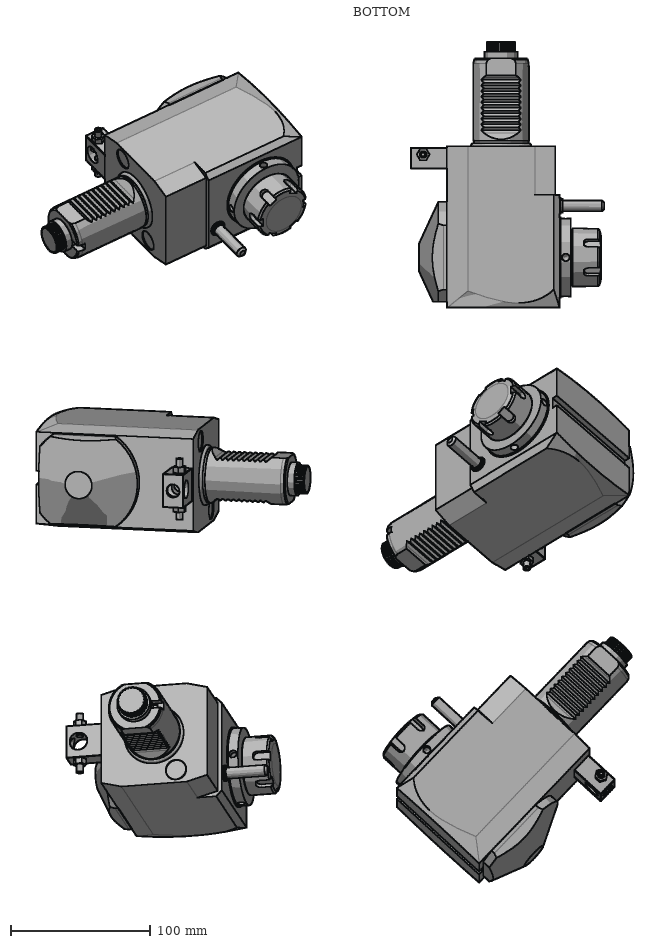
import cadquery as cq
import math


total_length = 191
body_length = 116.0
body_height = 75.0
half_height = body_height / 2
facet_angle = math.radians(15)
narrow_half_width = 39.0
facet_run = 14.9
facet_drop = facet_run * math.tan(facet_angle)
facet_inner_x = narrow_half_width - facet_run
head_x = 42.0
head_start_y = 35.0
head_chamfer = 4.2
slot_half_width = 5.0
slot_depth = 4.0

crown_z = 36.7
crown_left_y = 103.7
crown_right_y = 102.8
crown_edge = [(-14.3, 107.2), (-3.5, 110.2), (12.6, 112.5), (28.8, 109.0)]

shank_radius = 20.0
shank_length = 63.0
collar_radius = 21.8
collar_length = 2.3
collar_round = 2.1
neck_radius = 19.7
neck_end = 4.0
end_taper_length = 3.5
end_taper_depth = 0.5
end_chamfer = 1.0
flat_z = 17.0
ring_radius = 12.0
ring_end = 68.0
spline_radius = 10.3
spline_root_radius = 9.4
spline_count = 24
spline_end = total_length - body_length
spline_chamfer = 0.5

tooth_count = 10
tooth_valley_z = 14.1
first_valley_y = -11.7
last_valley_y = -47.5
tooth_pitch = (first_valley_y - last_valley_y) / (tooth_count - 1)
tooth_slope = 1.2
tooth_height = tooth_pitch / 2 / tooth_slope
ramp_slope = 1.1

key_half_width = 2.7
key_inner_x = 11.8
key_depth = 5.7
key_pocket_half_width = 1.7
key_pocket_outer_x = 15.3
key_pocket_depth = 1.1

recess_radius = 7.5
recess_x = 16.0
recess_z = 27.7
recess_depth = 1.0

spindle_y = 79.8
seat_radius = 28.8
seat_end = 42.8
flange_radius = 28.0
flange_end = 50.0
spindle_neck_radius = 16.0
nut_radius = 21.0
nut_start = 51.0
nut_end = 71.8
nut_bevel_start = 69.5
nut_shoulder_x = 70.9
nut_shoulder_radius = 19.7
nut_face_radius = 15.3
nut_back_chamfer = 0.5
nut_slot_count = 6
nut_slot_half_width = 3.2
nut_slot_start = 59.2
nut_slot_depth = 3.6
pin_hole_radius = 2.7
pin_hole_depth = 4.8
pin_hole_x = (seat_end + flange_end) / 2

pin_y = 42.8
pin_z = -17.8
pin_radius = 4.0
pin_end = 74.1
pin_chamfer = 1.7
pin_foot_radius = 5.7
pin_foot_end = 43.0
pin_step_radius = 5.0
pin_step_end = 44.1

cover_radius = 40.1
cover_rim_x = -45.0
cover_tip_x = -59.0
cover_tip_radius = 10.0
cover_back_y = 111.7
cover_half_height = 32.9

block_x = -65.0
block_start_y = 1.0
block_end_y = 16.0
block_half_height = 12.2
bore_x = -56.0
bore_y = 8.5
bore_radius = 6.5
port_radius = 4.8
port_bottom_x = -42.0
feed_radius = 1.5
feed_depth = 2.0
block_chamfer = 0.4
screw_y = 6.0
nut_across_corners = 9.2
lock_nut_top = 16.5
screw_radius = 2.5
screw_top = 22.2
screw_bottom = 5.5
socket_diameter = 3.0
socket_depth = 2.0


def cylinder_x(radius, start_x, end_x, y, z):
    return cq.Workplane("YZ", origin=(start_x, y, z)).circle(radius).extrude(end_x - start_x)


def cylinder_y(radius, start_y, end_y, x=0, z=0):
    return cq.Workplane("XZ", origin=(x, start_y, z)).circle(radius).extrude(start_y - end_y)


def crown_cutter():
    """Wedge between the flat top and the ruled surface that crowns the back end."""
    back_left = cq.Vector(-narrow_half_width, body_length, half_height - facet_drop)
    back_right = cq.Vector(head_x, body_length, half_height - head_chamfer)
    back_middle = cq.Vector((head_x - narrow_half_width) / 2, body_length, crown_z)
    top_left = cq.Vector(-facet_inner_x, crown_left_y, half_height)
    top_right = cq.Vector(head_x - head_chamfer, crown_right_y, half_height)
    corner_left = cq.Vector(back_left.x, body_length, half_height)
    corner_right = cq.Vector(back_right.x, body_length, half_height)

    back_arc = cq.Edge.makeThreePointArc(back_left, back_middle, back_right)
    top_points = [cq.Vector(x, y, half_height) for x, y in crown_edge]
    top_curve = cq.Edge.makeSpline([top_left] + top_points + [top_right])

    line = cq.Edge.makeLine
    left_ridge = line(back_left, top_left)
    right_ridge = line(back_right, top_right)
    left_post = line(back_left, corner_left)
    right_post = line(back_right, corner_right)
    left_side = line(corner_left, top_left)
    right_side = line(corner_right, top_right)
    back_line = line(corner_left, corner_right)

    outlines = [
        [back_arc, right_post, back_line, left_post],
        [top_curve, right_side, back_line, left_side],
        [left_ridge, left_side, left_post],
        [right_ridge, right_side, right_post],
    ]
    faces = [cq.Face.makeFromWires(cq.Wire.assembleEdges(edges)) for edges in outlines]
    faces.append(cq.Face.makeRuledSurface(back_arc, top_curve))
    return cq.Workplane(cq.Solid.makeSolid(cq.Shell.makeShell(faces)))


def body():
    facet_end_z = half_height - facet_drop
    tail_outline = [
        (-narrow_half_width, -facet_end_z),
        (-facet_inner_x, -half_height),
        (facet_inner_x, -half_height),
        (narrow_half_width, -facet_end_z),
        (narrow_half_width, facet_end_z),
        (facet_inner_x, half_height),
        (-facet_inner_x, half_height),
        (-narrow_half_width, facet_end_z),
    ]
    chamfer_x = head_x - head_chamfer
    chamfer_z = half_height - head_chamfer
    head_outline = tail_outline[:2] + [
        (chamfer_x, -half_height),
        (head_x, -chamfer_z),
        (head_x, chamfer_z),
        (chamfer_x, half_height),
    ] + tail_outline[-2:]
    tail = cq.Workplane("XZ").polyline(tail_outline).close().extrude(-head_start_y)
    head = (
        cq.Workplane("XZ", origin=(0, head_start_y, 0))
        .polyline(head_outline).close()
        .extrude(head_start_y - body_length)
    )
    cutter = crown_cutter()
    slot = cq.Workplane("XY").box(4 * head_x, 2 * slot_depth, 2 * slot_half_width)
    solid = tail.union(head).cut(cutter).cut(cutter.mirror("XY"))
    solid = solid.cut(slot.translate((0, body_length, 0)))
    for side in (-1, 1):
        solid = solid.cut(cylinder_y(recess_radius, 0, recess_depth, side * recess_x, -side * recess_z))
    return solid


def tooth_cutter():
    """Everything above the toothed and flat profile on the +Z side of the shank."""
    clear_z = 2 * shank_radius
    crest_z = tooth_valley_z + tooth_height
    first_crest_y = first_valley_y + tooth_pitch / 2
    last_crest_y = last_valley_y - tooth_pitch / 2
    profile = [
        (first_crest_y + (clear_z - crest_z) * ramp_slope, clear_z),
        (first_crest_y, crest_z),
    ]
    for i in range(tooth_count):
        valley_y = first_valley_y - i * tooth_pitch
        profile.append((valley_y, tooth_valley_z))
        profile.append((valley_y - tooth_pitch / 2, crest_z))
    profile += [
        (last_crest_y - (flat_z - crest_z) * ramp_slope, flat_z),
        (-shank_length, flat_z),
        (-shank_length, clear_z),
    ]
    start = (-shank_radius, 0, 0)
    return cq.Workplane("YZ", origin=start).polyline(profile).close().extrude(2 * shank_radius)


def shank():
    outline = [
        (0, 0),
        (neck_radius, 0),
        (neck_radius, -neck_end),
        (shank_radius, -neck_end),
        (shank_radius, -shank_length + end_taper_length),
        (shank_radius - end_taper_depth, -shank_length + end_chamfer),
        (shank_radius - end_taper_depth - end_chamfer, -shank_length),
        (ring_radius, -shank_length),
        (ring_radius, -ring_end),
        (spline_radius, -ring_end),
        (spline_radius, -spline_end + spline_chamfer),
        (spline_radius - spline_chamfer, -spline_end),
        (0, -spline_end),
    ]
    solid = cq.Workplane("XY").polyline(outline).close().revolve(360, (0, 0, 0), (0, 1, 0))

    collar = cylinder_y(collar_radius, 0, -collar_length).faces("<Y").edges().fillet(collar_round)
    cutter = tooth_cutter()
    solid = solid.cut(cutter).cut(cutter.mirror("XY")).union(collar)

    key = cq.Workplane("XY").box(
        shank_radius, key_depth, 2 * key_half_width, centered=(False, False, True)
    )
    key_pocket = cq.Workplane("XY").box(
        key_pocket_outer_x - key_inner_x,
        key_depth + key_pocket_depth,
        2 * key_pocket_half_width,
        centered=(False, False, True),
    )
    solid = solid.cut(key.union(key_pocket).translate((key_inner_x, -shank_length, 0)))

    gap_angle = math.pi / spline_count / 2
    gap_outline = [
        (spline_root_radius, 0),
        (spline_radius * math.cos(gap_angle), spline_radius * math.sin(gap_angle)),
        (spline_radius + spline_chamfer, 0),
        (spline_radius * math.cos(gap_angle), -spline_radius * math.sin(gap_angle)),
    ]
    gap = (
        cq.Workplane("XZ", origin=(0, -ring_end, 0))
        .polyline(gap_outline).close()
        .extrude(spline_end - ring_end)
    )
    for i in range(spline_count):
        solid = solid.cut(gap.rotate((0, 0, 0), (0, 1, 0), i * 360 / spline_count))
    return solid


def spindle():
    outline = [
        (head_x, 0),
        (head_x, seat_radius),
        (seat_end, seat_radius),
        (seat_end, flange_radius),
        (flange_end, flange_radius),
        (flange_end, spindle_neck_radius),
        (nut_start, spindle_neck_radius),
        (nut_start, nut_radius - nut_back_chamfer),
        (nut_start + nut_back_chamfer, nut_radius),
        (nut_bevel_start, nut_radius),
        (nut_shoulder_x, nut_shoulder_radius),
        (nut_end, nut_face_radius),
        (nut_end, 0),
    ]
    solid = cq.Workplane("XY").polyline(outline).close().revolve(360, (0, 0, 0), (1, 0, 0))

    slot_round_x = nut_slot_start + nut_slot_half_width
    slot = (
        cq.Workplane("XY", origin=(0, 0, nut_radius - nut_slot_depth))
        .moveTo(nut_end, -nut_slot_half_width)
        .lineTo(slot_round_x, -nut_slot_half_width)
        .threePointArc((nut_slot_start, 0), (slot_round_x, nut_slot_half_width))
        .lineTo(nut_end, nut_slot_half_width)
        .close()
        .extrude(2 * nut_slot_depth)
    )
    for i in range(nut_slot_count):
        solid = solid.cut(slot.rotate((0, 0, 0), (1, 0, 0), 90 + i * 360 / nut_slot_count))

    hole_floor = flange_radius - pin_hole_depth
    hole = (
        cq.Workplane("XZ")
        .polyline([
            (0, hole_floor - pin_hole_radius),
            (pin_hole_radius, hole_floor),
            (pin_hole_radius, seat_radius),
            (0, seat_radius),
        ])
        .close()
        .revolve(360, (0, 0, 0), (0, 1, 0))
        .translate((pin_hole_x, 0, 0))
    )
    for angle in range(0, 360, 90):
        solid = solid.cut(hole.rotate((0, 0, 0), (1, 0, 0), angle))
    return solid.translate((0, spindle_y, 0))


def locating_pin():
    pin = cylinder_x(pin_radius, head_x, pin_end, pin_y, pin_z).faces(">X").chamfer(pin_chamfer)
    foot = cylinder_x(pin_foot_radius, head_x, pin_foot_end, pin_y, pin_z)
    step = cylinder_x(pin_step_radius, head_x, pin_step_end, pin_y, pin_z)
    return pin.union(foot).union(step)


def bearing_cover():
    outline = [
        (-narrow_half_width, 0),
        (-narrow_half_width, cover_radius),
        (cover_rim_x, cover_radius),
        (cover_tip_x, cover_tip_radius),
        (cover_tip_x, 0),
    ]
    dome = (
        cq.Workplane("XY").polyline(outline).close()
        .revolve(360, (0, 0, 0), (1, 0, 0))
        .translate((0, spindle_y, 0))
    )
    flat_end_x = -facet_inner_x - (half_height - cover_half_height) / math.tan(facet_angle)
    tip_z = half_height - (-facet_inner_x - cover_tip_x) * math.tan(facet_angle)
    envelope = (
        cq.Workplane("XZ", origin=(0, cover_back_y, 0))
        .polyline([
            (-narrow_half_width, cover_half_height),
            (flat_end_x, cover_half_height),
            (cover_tip_x, tip_z),
            (cover_tip_x, -tip_z),
            (flat_end_x, -cover_half_height),
            (-narrow_half_width, -cover_half_height),
        ])
        .close()
        .extrude(2 * cover_radius)
    )
    return dome.intersect(envelope)


def clamp_screw():
    """Set screw with lock nut that enters the coolant block from +Z."""
    place = (bore_x, screw_y)
    nut = (
        cq.Workplane("XY", origin=(*place, block_half_height))
        .polygon(6, nut_across_corners)
        .extrude(lock_nut_top - block_half_height)
    )
    screw = (
        cq.Workplane("XY", origin=(*place, screw_bottom))
        .circle(screw_radius)
        .extrude(screw_top - screw_bottom)
    )
    socket = (
        cq.Workplane("XY", origin=(*place, screw_top - socket_depth))
        .polygon(6, socket_diameter)
        .extrude(socket_depth)
    )
    return nut.union(screw).cut(socket)


def coolant_block():
    block = cq.Workplane("XY").box(
        -narrow_half_width - block_x,
        block_end_y - block_start_y,
        2 * block_half_height,
        centered=(False, False, True),
    ).edges("|X or <X").chamfer(block_chamfer).translate((block_x, block_start_y, 0))
    bore = cylinder_y(bore_radius, block_start_y, block_end_y, bore_x)
    port = cylinder_x(port_radius, block_x, port_bottom_x, bore_y, 0)
    feed = cylinder_x(feed_radius, port_bottom_x, port_bottom_x + feed_depth, bore_y, 0)
    screw = clamp_screw()
    return block.cut(bore).cut(port).cut(feed).union(screw).union(screw.mirror("XY"))


result = body()
for feature in (shank(), spindle(), locating_pin(), bearing_cover(), coolant_block()):
    result = result.union(feature)